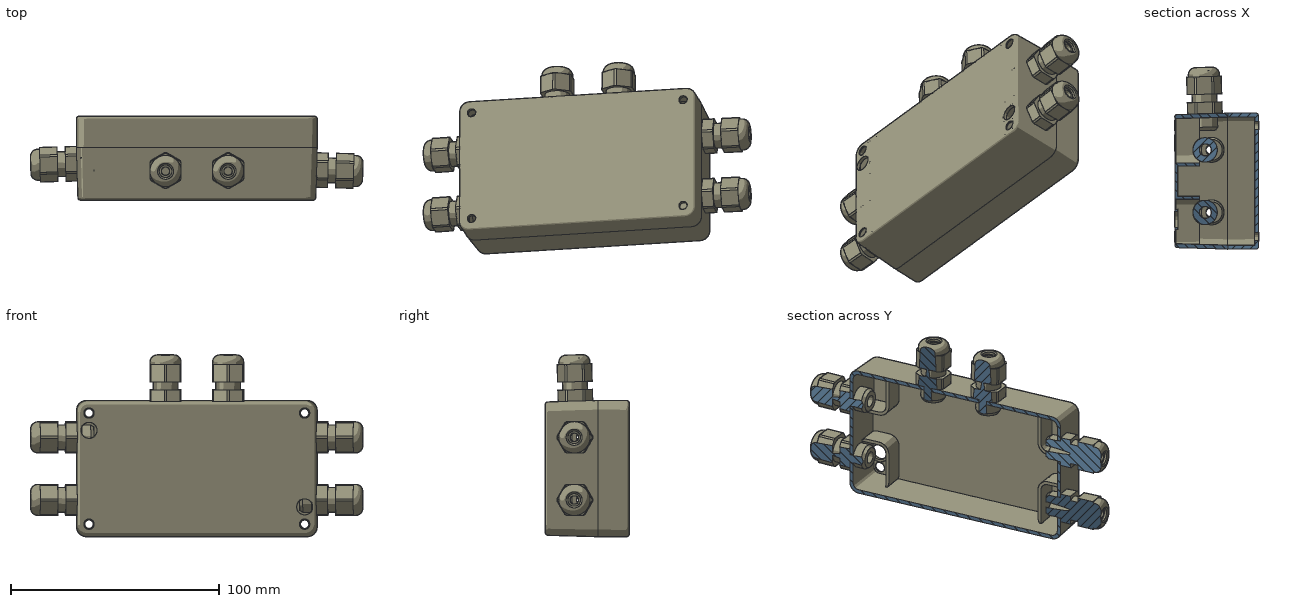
import cadquery as cq
import math

BOX_LENGTH = 115.2
BOX_HEIGHT = 65.2
LID_DEPTH = 15.0
BASE_DEPTH = 25.3
BASE_DRAFT = 1.6
CORNER_RADIUS = 5.0
RIM_FILLET = 1.5
WALL = 2.0
BASE_FLOOR = 1.6

SCREW_INSET = 6.0
SCREW_X = BOX_LENGTH / 2 - SCREW_INSET
SCREW_Z = BOX_HEIGHT / 2 - SCREW_INSET
BASE_SCREW_DIAMETER = 5.0
LID_SCREW_DIAMETER = 4.0

MOUNT_DIAMETER = 7.6
MOUNT_Z = 18.3
MOUNT_BOSS_DIAMETER = 10.0

POCKET_INNER_X = 42.2
POCKET_INNER_Z = 8.8
POCKET_RADIUS = 3.8
POCKET_FLOOR = 0.6
RIB_THICKNESS = 1.6
RIB_TOP = 13.4

GLAND_OFFSET = 15.0
GLAND_DEPTH = 10.8
LEFT_GLAND_DEPTH = 7.8
HEX_WIDTH = 15.0
HEX_EDGE_CHAMFER = 0.6
FLANGE_HEIGHT = 5.4
NECK_HEIGHT = 3.8
NUT_HEIGHT = 8.5
COLLAR_HEIGHT = 1.0
DOME_HEIGHT = 3.5
STUB_DIAMETER = 12.0
STUB_LENGTH = 8.1
STUB_TIP_DIAMETER = 10.0
STUB_TAPER_LENGTH = 1.6
REAR_BORE_DIAMETER = 5.5
SEAL_BORE_DIAMETER = 4.0
SEAL_LENGTH = 3.2
MOUTH_DIAMETER = 6.0
MOUTH_DEPTH = 1.6
MOUTH_RIM_DIAMETER = 7.6
MOUTH_RIM_DEPTH = 0.5

DRAFT_SLOPE = math.tan(math.radians(BASE_DRAFT))
NUT_START = FLANGE_HEIGHT + NECK_HEIGHT
NUT_END = NUT_START + NUT_HEIGHT
DOME_START = NUT_END + COLLAR_HEIGHT
GLAND_TIP = DOME_START + DOME_HEIGHT


def rounded_block(length, height, depth, draft, corner_radius):
    """A block that starts at Y = 0 and grows towards -Y, with its long corners rounded."""
    block = cq.Workplane("XZ").rect(length, height).extrude(depth, taper=draft)
    return block.edges("not(#Y)").fillet(corner_radius)


def outer_block(depth, draft):
    block = rounded_block(BOX_LENGTH, BOX_HEIGHT, depth, draft, CORNER_RADIUS)
    return block.faces("<Y").edges().fillet(RIM_FILLET)


def cavity(depth, draft):
    return rounded_block(
        BOX_LENGTH - 2 * WALL, BOX_HEIGHT - 2 * WALL, depth, draft, CORNER_RADIUS - WALL
    )


def screw_holes(diameter, depth):
    return (
        cq.Workplane("XZ")
        .rect(2 * SCREW_X, 2 * SCREW_Z, forConstruction=True)
        .vertices()
        .circle(diameter / 2)
        .extrude(depth)
    )


def make_lid():
    lid = outer_block(LID_DEPTH, 0).cut(cavity(LID_DEPTH - WALL, 0))
    return lid.cut(screw_holes(LID_SCREW_DIAMETER, LID_DEPTH)).mirror("XZ")


def corner_blocks(inner_x, inner_z, radius):
    """Four blocks from the given inner sides out to the box sides, between rib top and floor."""
    length = BOX_LENGTH / 2 - inner_x
    height = BOX_HEIGHT / 2 - inner_z
    blocks = (
        cq.Workplane("XZ", origin=(0, -RIB_TOP, 0))
        .rect(BOX_LENGTH - length, BOX_HEIGHT - height, forConstruction=True)
        .vertices()
        .rect(length, height)
        .extrude(BASE_DEPTH - RIB_TOP)
    )
    return blocks.edges("|Y").fillet(radius)


def mount_cylinders(diameter, height):
    """Cylinders on the mounting hole axes, from the outside of the floor inwards."""
    return (
        cq.Workplane("XZ", origin=(0, -BASE_DEPTH, 0))
        .pushPoints([(-SCREW_X, MOUNT_Z), (SCREW_X, -MOUNT_Z)])
        .circle(diameter / 2)
        .extrude(-height)
    )


def base_cavity():
    """The space inside the base: main cavity and deeper corner pockets, less ribs and bosses."""
    pockets = corner_blocks(POCKET_INNER_X, POCKET_INNER_Z, POCKET_RADIUS)
    ribs = corner_blocks(
        POCKET_INNER_X - RIB_THICKNESS, POCKET_INNER_Z - RIB_THICKNESS, POCKET_RADIUS + RIB_THICKNESS
    )
    main_space = cavity(BASE_DEPTH - BASE_FLOOR, BASE_DRAFT).cut(ribs)
    pocket_space = cavity(BASE_DEPTH - POCKET_FLOOR, BASE_DRAFT).intersect(pockets)
    return main_space.union(pocket_space).cut(mount_cylinders(MOUNT_BOSS_DIAMETER, BASE_FLOOR))


def make_base():
    base = outer_block(BASE_DEPTH, BASE_DRAFT).cut(base_cavity())
    base = base.cut(screw_holes(BASE_SCREW_DIAMETER, BASE_DEPTH))
    base = base.cut(mount_cylinders(MOUNT_DIAMETER, BASE_FLOOR))
    for place in gland_places():
        base = base.cut(gland_hole().val().moved(place))
    return base


def gland_hole():
    """The hole a gland stub fills, along Z, long enough to pass through the wall."""
    return cq.Workplane("XY").circle(STUB_DIAMETER / 2).extrude(2 * WALL, both=True)


def hexagon(start, height):
    """A hexagonal prism with its long edges chamfered."""
    return (
        cq.Workplane("XY", origin=(0, 0, start))
        .polygon(6, HEX_WIDTH, circumscribed=True)
        .extrude(height)
        .edges("|Z")
        .chamfer(HEX_EDGE_CHAMFER)
    )


def gland_core():
    """The round outside of a gland: tapered stub, neck, and collar under a dome."""
    dome_arc = DOME_HEIGHT * math.sqrt(0.5)
    collar_radius = HEX_WIDTH / 2
    dome_centre = collar_radius - DOME_HEIGHT
    return (
        cq.Workplane("XZ")
        .moveTo(0, -STUB_LENGTH)
        .lineTo(STUB_TIP_DIAMETER / 2, -STUB_LENGTH)
        .lineTo(STUB_DIAMETER / 2, STUB_TAPER_LENGTH - STUB_LENGTH)
        .lineTo(STUB_DIAMETER / 2, NUT_END)
        .lineTo(collar_radius, NUT_END)
        .lineTo(collar_radius, DOME_START)
        .threePointArc((dome_centre + dome_arc, DOME_START + dome_arc), (dome_centre, GLAND_TIP))
        .lineTo(0, GLAND_TIP)
        .close()
        .revolve(360, (0, 0, 0), (0, 1, 0))
    )


def gland_bore():
    """The cable passage: wide behind the seal, narrow in it, with a countersunk mouth."""
    mouth_floor = GLAND_TIP - MOUTH_DEPTH
    seal_start = mouth_floor - SEAL_LENGTH
    return (
        cq.Workplane("XZ")
        .moveTo(0, -STUB_LENGTH)
        .lineTo(REAR_BORE_DIAMETER / 2, -STUB_LENGTH)
        .lineTo(REAR_BORE_DIAMETER / 2, seal_start)
        .lineTo(SEAL_BORE_DIAMETER / 2, seal_start)
        .lineTo(SEAL_BORE_DIAMETER / 2, mouth_floor)
        .lineTo(MOUTH_DIAMETER / 2, mouth_floor)
        .lineTo(MOUTH_DIAMETER / 2, GLAND_TIP - MOUTH_RIM_DEPTH)
        .lineTo(MOUTH_RIM_DIAMETER / 2, GLAND_TIP)
        .lineTo(0, GLAND_TIP)
        .close()
        .revolve(360, (0, 0, 0), (0, 1, 0))
    )


def make_gland():
    """A cable gland along Z: the wall is at Z = 0 and the cable enters at the +Z end."""
    flange = hexagon(0, FLANGE_HEIGHT)
    nut = hexagon(NUT_START, NUT_HEIGHT)
    return gland_core().union(flange).union(nut).cut(gland_bore())


def gland_places():
    """Locations that stand each gland square on its drafted wall."""
    places = []
    for turn, half_span, depth in (
        (-90, BOX_LENGTH / 2, LEFT_GLAND_DEPTH),
        (0, BOX_HEIGHT / 2, GLAND_DEPTH),
        (90, BOX_LENGTH / 2, GLAND_DEPTH),
    ):
        wall_turn = cq.Location(cq.Vector(0, 0, 0), cq.Vector(0, 1, 0), turn)
        lean = cq.Location(cq.Vector(0, 0, 0), cq.Vector(1, 0, 0), BASE_DRAFT)
        for side in (-GLAND_OFFSET, GLAND_OFFSET):
            seat = cq.Location(cq.Vector(side, -depth, half_span - depth * DRAFT_SLOPE))
            places.append(wall_turn * seat * lean)
    return places


lid = make_lid()
base = make_base()
gland = make_gland()
glands = [gland.val().moved(place) for place in gland_places()]

result = cq.Compound.makeCompound([lid.val(), base.val(), *glands])